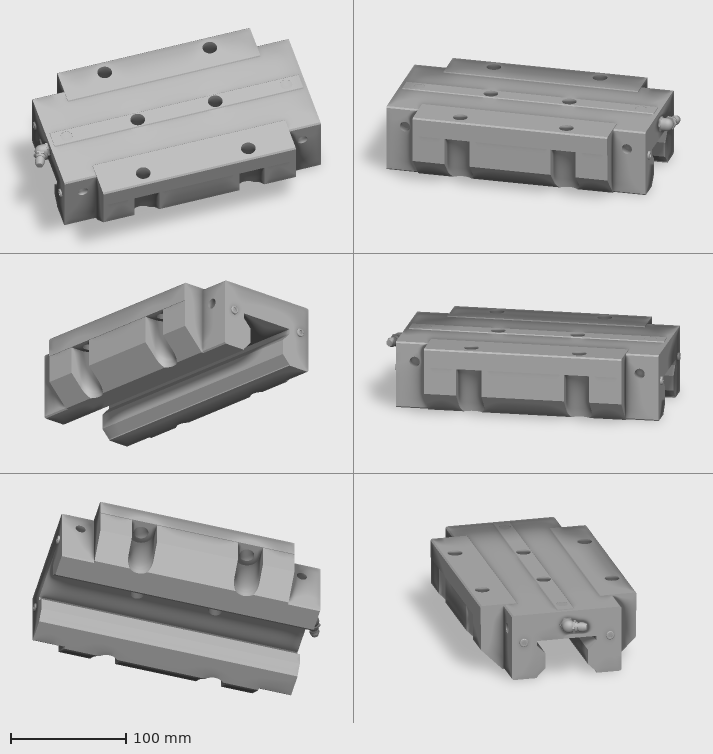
import cadquery as cq
import math


block_length = 174.4
block_width = 140.0
total_height = 60.0
top_chamfer = 1.2
flange_depth = 16.7
flange_overhang = 0.5
flange_underside_z = total_height - flange_depth
lower_corner_height = 19.5

land_step = 0.7
middle_strip_width = 14.5
outer_pad_inner_x = 37.4
land_z = total_height - land_step

slot_top_z = 34.1
slot_half_width = 26.7
throat_half_width = 19.0
throat_low_z = 8.7
throat_high_z = 22.0

hole_diameter = 12.7
flange_hole_x = 58.0
flange_hole_y = 47.5
middle_hole_y = 35.0
spotface_diameter = 22.5

carriage_length = 232.2
cap_width = 98.1
cap_chamfer = 1.2
strip_end_margin = 3.5
cap_port_y = 99.5
top_port_diameter = 10.5
top_port_depth = 0.2
side_port_diameter = 9.0
side_port_depth = 7.5
side_port_z = 42.0
cap_end_y = carriage_length / 2

screw_x = 38.5
screw_z = 34.0
screw_diameter = 7.5
screw_protrusion = 1.7
screw_edge_chamfer = 0.5
socket_flats = 3.7
socket_depth = 1.2

nipple_z = 47.5
base_hex_flats = 11.2
base_hex_thickness = 2.0
sleeve_diameter = 11.2
sleeve_length = 4.5
arm_angle = 22.0
arm_hex_flats = 10.5
arm_hex_start = 4.2
arm_hex_end = 6.0
shoulder_radius = 4.7
shoulder_end = 8.0
shoulder_end_radius = 4.0
neck_radius = 3.5
head_start = 9.5
head_radius = 4.2
head_taper_start = 12.7
tip_distance = 16.0
tip_radius = 3.0


def hexagon_corners(flats):
    """Corner-to-corner size of a hexagon from its across-flats size."""
    return flats / math.cos(math.pi / 6)


def centred_box(width, length, bottom_z, top_z):
    """Box centred on X and Y between two heights."""
    box = cq.Workplane("XY").workplane(offset=bottom_z)
    return box.rect(width, length).extrude(top_z - bottom_z)


def make_block():
    half_width = block_width / 2
    lower_half_width = half_width - flange_overhang
    half_outline = [
        (0, 0),
        (lower_half_width - lower_corner_height, 0),
        (lower_half_width, lower_corner_height),
        (lower_half_width, flange_underside_z),
        (half_width, flange_underside_z),
        (half_width, total_height - top_chamfer),
        (half_width - top_chamfer, total_height),
        (outer_pad_inner_x, total_height),
        (outer_pad_inner_x - land_step, land_z),
        (0, land_z),
    ]
    half = cq.Workplane("XZ").polyline(half_outline).close().extrude(block_length / 2, both=True)
    return half.union(half.mirror("YZ"))


def make_caps():
    body = centred_box(cap_width, carriage_length, 0, land_z)
    body = body.edges("|Y").chamfer(cap_chamfer)
    return body.cut(centred_box(cap_width, block_length, 0, land_z))


def make_middle_strip():
    strip_length = carriage_length - 2 * strip_end_margin
    top_half_width = middle_strip_width / 2
    base_half_width = top_half_width + land_step
    outline = [
        (-base_half_width, slot_top_z),
        (base_half_width, slot_top_z),
        (base_half_width, land_z),
        (top_half_width, total_height),
        (-top_half_width, total_height),
        (-base_half_width, land_z),
    ]
    return cq.Workplane("XZ").polyline(outline).close().extrude(strip_length / 2, both=True)


def make_rail_slot():
    flare = slot_half_width - throat_half_width
    right_side = [
        (slot_half_width, 0),
        (slot_half_width, throat_low_z - flare),
        (throat_half_width, throat_low_z),
        (throat_half_width, throat_high_z),
        (slot_half_width, throat_high_z + flare),
        (slot_half_width, slot_top_z),
    ]
    left_side = [(-x, z) for x, z in reversed(right_side)]
    outline = cq.Workplane("XZ").polyline(right_side + left_side).close()
    return outline.extrude(carriage_length / 2, both=True)


def make_mounting_holes():
    places = [(x, y) for x in (-flange_hole_x, flange_hole_x) for y in (-flange_hole_y, flange_hole_y)]
    places += [(0, -middle_hole_y), (0, middle_hole_y)]
    return cq.Workplane("XY").pushPoints(places).circle(hole_diameter / 2).extrude(total_height)


def make_spotface(x_side, y):
    """Clearance under a flange hole, open to the side of the block."""
    round_end = cq.Workplane("XY").center(x_side * flange_hole_x, y)
    round_end = round_end.circle(spotface_diameter / 2).extrude(flange_underside_z)
    opening_length = block_width / 2 - flange_hole_x
    opening = cq.Workplane("XY").center(x_side * (flange_hole_x + opening_length / 2), y)
    opening = opening.rect(opening_length, spotface_diameter).extrude(flange_underside_z)
    return round_end.union(opening)


def make_cap_ports():
    port_places = [(0, -cap_port_y), (0, cap_port_y)]
    ports = cq.Workplane("XY").workplane(offset=total_height - top_port_depth)
    ports = ports.pushPoints(port_places).circle(top_port_diameter / 2).extrude(top_port_depth)
    side_places = [(-cap_port_y, side_port_z), (cap_port_y, side_port_z)]
    for start_x in (-cap_width / 2, cap_width / 2 - side_port_depth):
        side_ports = cq.Workplane("YZ").workplane(offset=start_x).pushPoints(side_places)
        ports = ports.union(side_ports.circle(side_port_diameter / 2).extrude(side_port_depth))
    return ports


def make_screw_head(x):
    """Screw head standing out of the -Y cap, with a hexagon socket."""
    head = cq.Workplane("XZ", origin=(x, -cap_end_y, screw_z))
    head = head.circle(screw_diameter / 2).extrude(screw_protrusion)
    head = head.faces("<Y").edges().chamfer(screw_edge_chamfer)
    socket = cq.Workplane("XZ", origin=(x, -cap_end_y - screw_protrusion + socket_depth, screw_z))
    return head.cut(socket.polygon(6, hexagon_corners(socket_flats)).extrude(socket_depth))


def make_nipple_arm():
    """Barbed arm built along +X from the elbow centre."""
    arm_outline = [
        (arm_hex_start, 0),
        (arm_hex_start, shoulder_radius),
        (arm_hex_end, shoulder_radius),
        (shoulder_end, shoulder_end_radius),
        (shoulder_end, neck_radius),
        (head_start, neck_radius),
        (head_start, head_radius),
        (head_taper_start, head_radius),
        (tip_distance, tip_radius),
        (tip_distance, 0),
    ]
    arm = cq.Workplane("XY").polyline(arm_outline).close().revolve(360, (0, 0, 0), (1, 0, 0))
    collar = cq.Workplane("YZ").workplane(offset=arm_hex_start)
    collar = collar.polygon(6, hexagon_corners(arm_hex_flats)).extrude(arm_hex_end - arm_hex_start)
    return arm.union(collar)


def make_nipple():
    base = cq.Workplane("XZ", origin=(0, -cap_end_y, nipple_z))
    base = base.polygon(6, hexagon_corners(base_hex_flats)).extrude(base_hex_thickness)
    elbow_y = -cap_end_y - base_hex_thickness - sleeve_length
    sleeve = cq.Workplane("XZ", origin=(0, -cap_end_y, nipple_z))
    sleeve = sleeve.circle(sleeve_diameter / 2).extrude(base_hex_thickness + sleeve_length)
    elbow = cq.Workplane("XY").sphere(sleeve_diameter / 2)
    arm = make_nipple_arm().rotate((0, 0, 0), (0, 0, 1), -arm_angle)
    elbow = elbow.union(arm).translate((0, elbow_y, nipple_z))
    return base.union(sleeve).union(elbow)


result = make_block().union(make_caps()).union(make_middle_strip())
result = result.cut(make_rail_slot()).cut(make_mounting_holes()).cut(make_cap_ports())
for side in (-1, 1):
    for hole_y in (-flange_hole_y, flange_hole_y):
        result = result.cut(make_spotface(side, hole_y))
for head_x in (-screw_x, screw_x):
    screw_head = make_screw_head(head_x)
    result = result.union(screw_head).union(screw_head.mirror("XZ"))
result = result.union(make_nipple())